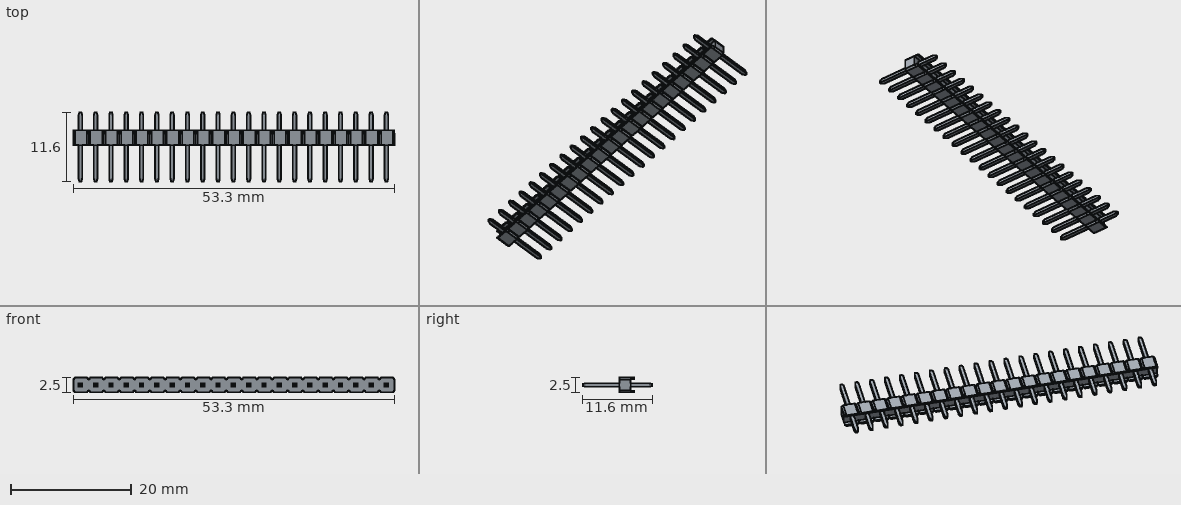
import cadquery as cq

pin_count = 21
pitch = 2.54
row_length = pin_count * pitch

body_height = 2.5
body_depth = 2.5
chamfer_width = 0.3
chamfer_height = 0.35

channel_depth = 0.62
flange_thickness = 0.32
channel_height = body_height - 2 * flange_thickness

pin_width = 0.64
pin_tip_width = 0.32
pin_taper = 0.54
pin_length = 11.6
pin_front_reach = 6.1
pin_offset_x = -0.1
pin_offset_z = -0.01

front_tip = -pin_front_reach
back_tip = front_tip + pin_length
front_shoulder = front_tip + pin_taper
back_shoulder = back_tip - pin_taper

cell_centers = [(i - (pin_count - 1) / 2) * pitch for i in range(pin_count)]


def row_body():
    """Full row of chamfered cells; the chamfers of neighbours form V notches."""
    half_flat = pitch / 2 - chamfer_width
    half_height = body_height / 2
    valley = half_height - chamfer_height
    upper_edge = [(-row_length / 2, valley)]
    for x in cell_centers:
        upper_edge.append((x - half_flat, half_height))
        upper_edge.append((x + half_flat, half_height))
        upper_edge.append((x + pitch / 2, valley))
    lower_edge = [(x, -z) for x, z in reversed(upper_edge)]
    return cq.Workplane("XZ").polyline(upper_edge + lower_edge).close().extrude(-body_depth)


def back_channel():
    """Cutter for the channel running the whole row along the back face."""
    return (
        cq.Workplane("XY")
        .box(row_length, channel_depth, channel_height)
        .translate((0, body_depth - channel_depth / 2, 0))
    )


def tapered_end(shoulder, tip):
    """Frustum along Y, narrowing from the shaft's shoulder to its tip."""
    return (
        cq.Workplane("XZ", origin=(0, shoulder, 0))
        .rect(pin_width, pin_width)
        .workplane(offset=shoulder - tip)
        .rect(pin_tip_width, pin_tip_width)
        .loft(ruled=True)
    )


def make_pin():
    """One pin on the Y axis, tapered at both ends."""
    shaft = (
        cq.Workplane("XZ", origin=(0, back_shoulder, 0))
        .rect(pin_width, pin_width)
        .extrude(back_shoulder - front_shoulder)
    )
    front_end = tapered_end(front_shoulder, front_tip)
    back_end = tapered_end(back_shoulder, back_tip)
    return shaft.union(front_end).union(back_end)


pin = make_pin()
result = row_body().cut(back_channel())
for x in cell_centers:
    result = result.union(pin.translate((x + pin_offset_x, 0, pin_offset_z)))